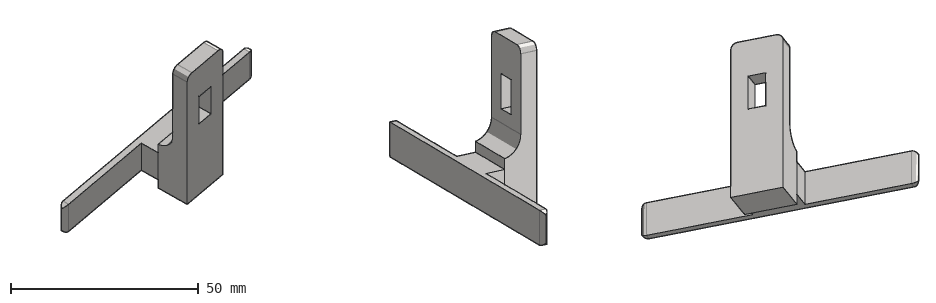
import cadquery as cq
import math

bracket_width = 15.0
bracket_height = 47.0
foot_depth = 10.0
upright_depth = 5.0
top_corner_radius = 2.0

blend_radius = 6.0
blend_top = 22.0

window_width = 5.0
window_height = 10.0
window_bottom = 26.0

bar_length = 80.0
bar_height = 10.0
bar_thickness = 2.0
bar_bottom = 3.0
bar_end_radius = 2.0
tongue_length = 5.8

upright_front = foot_depth - upright_depth
blend_center_x = upright_front - blend_radius
bar_front = -(tongue_length + bar_thickness)
bar_middle_x = bar_front + bar_thickness / 2
bar_middle_z = bar_bottom + bar_height / 2


def blend_point(angle):
    """Point (x, z) on the blend arc, at an angle below its horizontal radius."""
    return (
        blend_center_x + blend_radius * math.cos(angle),
        blend_top - blend_radius * math.sin(angle),
    )


def make_bracket():
    foot_edge_angle = math.acos(-blend_center_x / blend_radius)
    body = (
        cq.Workplane("XZ")
        .moveTo(0, 0)
        .lineTo(foot_depth, 0)
        .lineTo(foot_depth, bracket_height)
        .lineTo(upright_front, bracket_height)
        .lineTo(upright_front, blend_top)
        .threePointArc(blend_point(foot_edge_angle / 2), blend_point(foot_edge_angle))
        .close()
        .extrude(bracket_width / 2, both=True)
    )
    body = body.faces(">Z").edges("|X").fillet(top_corner_radius)
    window = cq.Workplane("XY").box(
        foot_depth, window_width, window_height, centered=(False, True, False)
    ).translate((0, 0, window_bottom))
    return body.cut(window)


def make_bar_plan():
    """Plate seen along Z: two arcs at each end meet in a central ridge."""
    straight_half = bar_length / 2 - bar_end_radius
    half_thickness = bar_thickness / 2
    ridge_angle = math.acos(1 - half_thickness / bar_end_radius)
    ridge_y = straight_half + bar_end_radius * math.sin(ridge_angle)
    arc_middle_x = half_thickness - bar_end_radius * (1 - math.cos(ridge_angle / 2))
    arc_middle_y = straight_half + bar_end_radius * math.sin(ridge_angle / 2)
    return (
        cq.Workplane("XY")
        .moveTo(half_thickness, -straight_half)
        .lineTo(half_thickness, straight_half)
        .threePointArc((arc_middle_x, arc_middle_y), (0, ridge_y))
        .threePointArc((-arc_middle_x, arc_middle_y), (-half_thickness, straight_half))
        .lineTo(-half_thickness, -straight_half)
        .threePointArc((-arc_middle_x, -arc_middle_y), (0, -ridge_y))
        .threePointArc((arc_middle_x, -arc_middle_y), (half_thickness, -straight_half))
        .close()
        .extrude(bar_height / 2, both=True)
    )


def make_crossbar():
    rounded_plate = (
        cq.Workplane("XY")
        .box(bar_thickness, bar_length, bar_height)
        .edges("|X")
        .fillet(bar_end_radius)
    )
    plate = make_bar_plan().intersect(rounded_plate).translate((bar_middle_x, 0, bar_middle_z))
    tongue = cq.Workplane("XY").box(
        tongue_length, bracket_width, bar_height, centered=(False, True, False)
    ).translate((-tongue_length, 0, bar_bottom))
    return plate.union(tongue)


bracket = make_bracket()
crossbar = make_crossbar()

result = cq.Compound.makeCompound([bracket.val(), crossbar.val()])